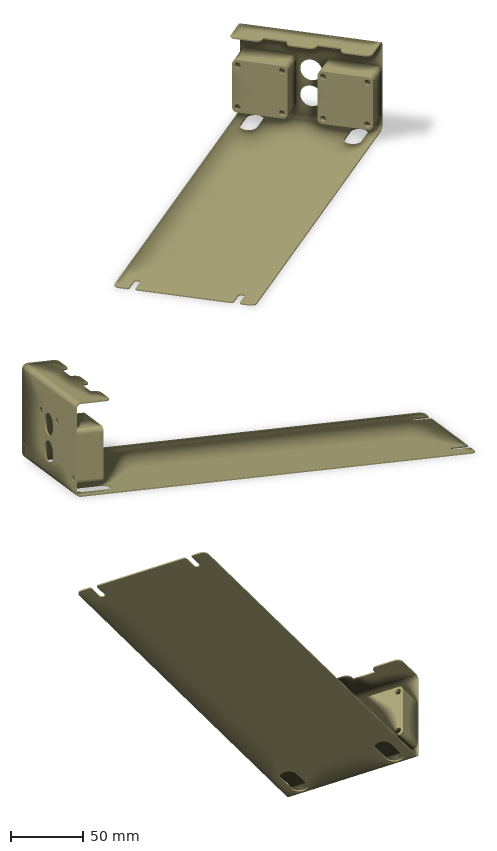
import cadquery as cq

length = 297.0
width = 102.8
height = 68.0
sheet = 1.0
bend_radius = 4.0

lip_depth = 26.0
notch_depth = 6.0
notch_width = 17.5
notch_offset = 19.5
lip_corner = 4.2

slot_offset = 37.7
open_slot_width = 4.5
open_slot_depth = 14.0
slot_mouth_radius = 1.5
base_corner = 4.2
long_slot_width = 12.2
long_slot_length = 26.7
long_slot_end = 31.0

block_side = 40.0
block_depth = 20.0
block_corner = 3.5
block_offset = 31.0
block_height = 28.5
screw_spacing = 32.0
screw_hole = 4.5

vent_hole = 16.0
vent_spacing = 20.0

sides = (-1, 1)
block_back = length - sheet
lip_front = length - lip_depth


def bent_sheet():
    """C-shaped strip: base, upright wall and top lip."""
    outer = cq.Workplane("YZ").box(length, height, width).translate((0, length / 2, height / 2))
    outer = outer.edges("|X and >Y").fillet(bend_radius)
    inner = cq.Workplane("YZ").box(length, height - 2 * sheet, width)
    inner = inner.translate((0, length / 2 - sheet, height / 2))
    inner = inner.edges("|X and >Y").fillet(bend_radius - sheet)
    above_base = cq.Workplane("XY").box(width, lip_front, height, centered=(True, False, False))
    return outer.cut(inner).cut(above_base.translate((0, 0, sheet)))


def lip_notches():
    """Two notches in the front edge of the lip."""
    return (
        cq.Workplane("XY", origin=(0, lip_front + notch_depth / 2, height - sheet))
        .pushPoints([(side * notch_offset, 0) for side in sides])
        .rect(notch_width, notch_depth)
        .extrude(sheet)
    )


def open_slots():
    """Round-ended slots open to the front edge of the base."""
    straight = open_slot_depth - open_slot_width / 2
    slots = cq.Workplane("XY")
    for side in sides:
        x = side * slot_offset
        slots = (
            slots.moveTo(x - open_slot_width / 2, 0)
            .lineTo(x + open_slot_width / 2, 0)
            .lineTo(x + open_slot_width / 2, straight)
            .threePointArc((x, open_slot_depth), (x - open_slot_width / 2, straight))
            .close()
        )
    return slots.extrude(sheet)


def long_slots():
    """Closed slots in the base below the blocks."""
    return (
        cq.Workplane("XY", origin=(0, length - long_slot_end + long_slot_length / 2, 0))
        .pushPoints([(side * slot_offset, 0) for side in sides])
        .slot2D(long_slot_length, long_slot_width, 90)
        .extrude(sheet)
    )


def wall_holes():
    """Two vents on the middle plane and a diagonal pair of screw holes behind each block."""
    wall = cq.Workplane("XZ", origin=(0, length, block_height))
    vents = [(0, end * vent_spacing / 2) for end in sides]
    screws = [
        (side * (block_offset - end * screw_spacing / 2), end * screw_spacing / 2)
        for side in sides
        for end in sides
    ]
    holes = wall.pushPoints(vents).circle(vent_hole / 2).extrude(sheet)
    return holes.union(wall.pushPoints(screws).circle(screw_hole / 2).extrude(sheet))


def make_bracket():
    """Bent sheet with rounded corners, slots and holes."""
    bracket = bent_sheet().cut(lip_notches()).cut(open_slots())

    lip_edges = cq.selectors.BoxSelector(
        (-width, lip_front - sheet, height - 2 * sheet), (width, lip_front + sheet, height + sheet)
    )
    bracket = bracket.edges("|Z").edges(lip_edges).fillet(lip_corner)

    mouth_reach = slot_offset + open_slot_width
    mouth_edges = cq.selectors.BoxSelector((-mouth_reach, -sheet, -sheet), (mouth_reach, sheet, 2 * sheet))
    bracket = bracket.edges("|Z").edges(mouth_edges).fillet(slot_mouth_radius)
    for corner in ("<X", ">X"):
        bracket = bracket.faces(corner).edges("|Z and <Y").fillet(base_corner)

    return bracket.cut(long_slots()).cut(wall_holes())


def make_block(side):
    """Square block against the front of the wall, with a screw hole through each corner."""
    return (
        cq.Workplane("XZ", origin=(side * block_offset, block_back, block_height))
        .rect(block_side, block_side)
        .extrude(block_depth)
        .edges("|Y")
        .fillet(block_corner)
        .faces("<Y")
        .workplane(centerOption="CenterOfBoundBox")
        .rect(screw_spacing, screw_spacing, forConstruction=True)
        .vertices()
        .hole(screw_hole)
    )


bracket = make_bracket()
blocks = [make_block(side) for side in sides]

result = cq.Compound.makeCompound([bracket.val(), *[block.val() for block in blocks]])